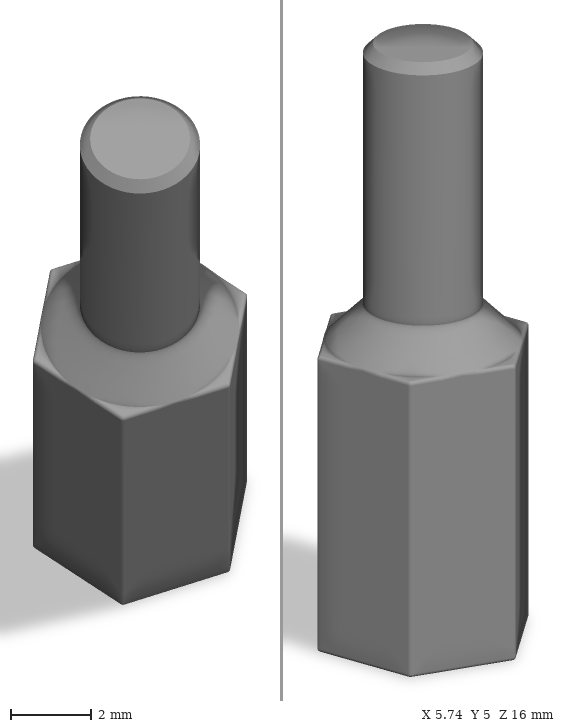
import cadquery as cq
import math

across_flats = 5.0
across_corners = across_flats / math.cos(math.pi / 6)
body_height = 8.0
edge_radius = 0.1

overall_height = 16.0
stud_radius = 1.5
tip_chamfer = 0.25

flat_clearance = 0.02
cone_base_radius = across_flats / 2 - flat_clearance
cone_height = cone_base_radius - stud_radius


def make_body():
    """Sharp-edged hexagonal prism standing on Z = 0."""
    return cq.Workplane("XY").polygon(6, across_corners).extrude(body_height)


def make_stud():
    """Cone and chamfered stud revolved about Z, with a root inside the body."""
    root_z = body_height - stud_radius
    return (
        cq.Workplane("XZ")
        .moveTo(0, root_z)
        .lineTo(stud_radius, root_z)
        .lineTo(cone_base_radius, body_height)
        .lineTo(stud_radius, body_height + cone_height)
        .lineTo(stud_radius, overall_height - tip_chamfer)
        .lineTo(stud_radius - tip_chamfer, overall_height)
        .lineTo(0, overall_height)
        .close()
        .revolve(360, (0, 0, 0), (0, 1, 0))
    )


def round_body_edges(part):
    """Round every straight edge of the hexagon; the top rounding runs out against the cone."""
    body_edges = [edge for edge in part.edges("%LINE").vals() if edge.Center().z <= body_height + edge_radius]
    return part.newObject(body_edges).fillet(edge_radius)


result = round_body_edges(make_body().union(make_stud()))